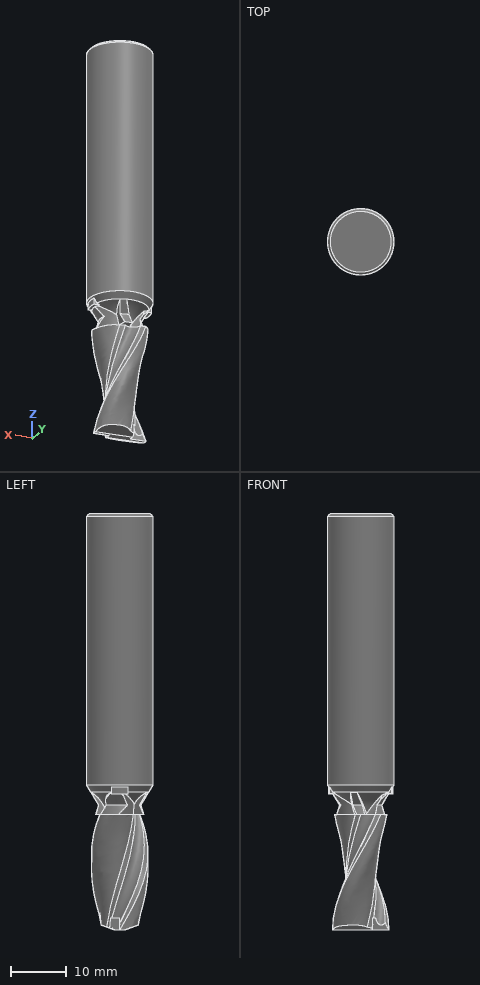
import cadquery as cq
import math

total_length = 75.0
shank_radius = 6.0
shank_chamfer = 0.5
shank_start = 26.1
joint_height = 20.8

cutter_radius = 5.1
helix_angle = 30.0
margin_angle = 12.0
land_points = [(30.0, 4.9), (45.0, 4.2), (90.0, 3.1), (113.0, 2.6)]
heel_angle = 135.0
heel_radius = 2.8
flute_angle = 157.0
rake_angle = 171.5
rake_radius = 4.4
core_radius = 2.5
flute_count = 2
helix_lead = 2 * math.pi * cutter_radius / math.tan(math.radians(helix_angle))

waist_top_radius = 4.35
waist_radius = 3.8
waist_height = 22.5
runout_height = 24.8
runout_radius = 5.25
runout_bulge_radius = 3.0
rib_crest_width = 0.75
rib_root_width = 3.0
rib_tilt = 17.0
lug_radius = 5.8
lug_bottom = 24.5
lug_width = 3.0

end_flat_half_width = 0.9
end_corner_half_width = 3.4
end_relief_height = 0.9
gash_depth = 1.7
gash_height = 2.2
gash_start = 2.1


def polar(radius, angle):
    a = math.radians(angle)
    return (radius * math.cos(a), radius * math.sin(a))


def fluted_bar(height):
    """Two-tooth section twisted along the helix from the end up to a height."""
    section = cq.Workplane("XY").moveTo(*polar(cutter_radius, 0))
    pitch = 360 / flute_count
    for tooth in range(flute_count):
        edge = tooth * pitch
        land = [polar(radius, edge + trail) for trail, radius in land_points]
        section = (
            section
            .threePointArc(
                polar(cutter_radius, edge + margin_angle / 2),
                polar(cutter_radius, edge + margin_angle),
            )
            .spline(land, includeCurrent=True)
            .lineTo(*polar(heel_radius, edge + heel_angle))
            .threePointArc(polar(core_radius, edge + flute_angle), polar(rake_radius, edge + rake_angle))
            .lineTo(*polar(cutter_radius, edge + pitch))
        )
    return section.close().twistExtrude(height, 360 * height / helix_lead)


def end_relief():
    """Prism whose roof-shaped underside slopes up on both sides of the cutting edges."""
    slope = end_relief_height / (end_corner_half_width - end_flat_half_width)
    side_height = slope * (shank_radius - end_flat_half_width)
    return (
        cq.Workplane("YZ")
        .moveTo(-end_flat_half_width, 0)
        .lineTo(end_flat_half_width, 0)
        .lineTo(shank_radius, side_height)
        .lineTo(shank_radius, joint_height)
        .lineTo(-shank_radius, joint_height)
        .lineTo(-shank_radius, side_height)
        .close()
        .extrude(shank_radius, both=True)
    )


def gash(tooth):
    """Square notch in front of one cutting edge at the end."""
    notch = cq.Workplane("XY").box(
        shank_radius - gash_start, gash_depth, gash_height, centered=False
    ).translate((gash_start, -gash_depth, 0))
    return notch.rotate((0, 0, 0), (0, 0, 1), tooth * 360 / flute_count)


def make_cutter():
    cutter = fluted_bar(joint_height).intersect(end_relief())
    for tooth in range(flute_count):
        cutter = cutter.cut(gash(tooth))
    return cutter


def shank_blank():
    """Turned shank with the concave runout that closes the flutes."""
    return (
        cq.Workplane("XZ")
        .moveTo(0, joint_height)
        .lineTo(core_radius, joint_height)
        .threePointArc((runout_bulge_radius, waist_height), (runout_radius, runout_height))
        .lineTo(shank_radius, shank_start)
        .lineTo(shank_radius, total_length - shank_chamfer)
        .lineTo(shank_radius - shank_chamfer, total_length)
        .lineTo(0, total_length)
        .close()
        .revolve(360, (0, 0, 0), (0, 1, 0))
    )


def neck_waist():
    """Waisted envelope that trims the teeth between the cutter and the shank."""
    return (
        cq.Workplane("XZ")
        .moveTo(0, joint_height)
        .lineTo(waist_top_radius, joint_height)
        .lineTo(waist_radius, waist_height)
        .lineTo(shank_radius, shank_start)
        .lineTo(0, shank_start)
        .close()
        .revolve(360, (0, 0, 0), (0, 1, 0))
    )


def heel_ribs():
    """Tilted ribs on both Y sides of the neck, carrying the tooth heels up to the cone."""
    rib = (
        cq.Workplane("XY")
        .moveTo(-rib_root_width / 2, 0)
        .lineTo(rib_root_width / 2, 0)
        .lineTo(rib_crest_width / 2, shank_radius)
        .lineTo(-rib_crest_width / 2, shank_radius)
        .close()
        .extrude(shank_start - joint_height, both=True)
        .rotate((0, 0, 0), (0, 1, 0), rib_tilt)
        .translate((0, 0, joint_height))
    )
    ribs = rib.union(rib.rotate((0, 0, 0), (0, 0, 1), 180))
    return ribs.intersect(neck_waist())


def lugs():
    """Flat-bottomed remainders of the shank on both X sides of the neck."""
    height = shank_start - lug_bottom
    disc = cq.Workplane("XY").workplane(offset=lug_bottom).circle(lug_radius).extrude(height)
    band = cq.Workplane("XY").workplane(offset=lug_bottom).rect(2 * shank_radius, lug_width).extrude(height)
    return disc.intersect(band)


def make_shank():
    teeth = fluted_bar(shank_start).intersect(neck_waist())
    return shank_blank().union(teeth).union(heel_ribs()).union(lugs())


cutter = make_cutter()
shank = make_shank()

result = cq.Compound.makeCompound([*cutter.solids().vals(), *shank.solids().vals()])